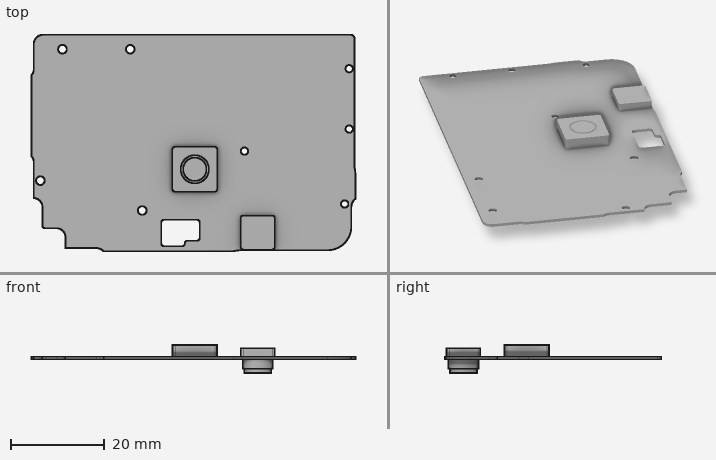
import cadquery as cq
import math

board_thickness = 0.6
module_height = 2.5
camera_height = 1.8
barrel_depth = 1.95
lens_depth = 1.0

board_length = 69.25
board_width = 46.3
left_edge = 0.5
right_edge = 69.05
lower_right_edge = 68.35
bottom_right_edge = 0.2
bulge_bottom = 20.3
bulge_top = 37.6
bulge_blend = 1.1
notch_top = 11.35
notch_x = 2.35
notch_bottom = 4.9
step_x = 7.3
step_y = 0.7
tab_start = 13.85
tab_corner = 15.45
tab_end = 43.15
tab_end_blend = 1.7
right_bulge_bottom = 11.2
right_bulge_top = 15.85
right_bulge_upper_blend = 1.95
notch_radius = 1.9
corner_radius = 0.55
top_left_radius = 2.1
top_right_radius = 0.9
bottom_right_radius = 5.1
right_bulge_lower_blend = 1.65

large_hole_diameter = 1.8
large_holes = [(6.65, 43.15), (21.1, 43.15), (1.95, 15.1), (23.7, 8.7)]
small_hole_diameter = 1.5
small_holes = [(67.9, 39.0), (67.9, 26.1), (66.9, 10.1), (45.5, 21.4)]

window_left, window_right = 27.8, 35.95
window_bottom, window_top = 1.1, 6.7
window_step_x, window_step_y = 32.75, 2.3

module_size = 9.55
module_center = (34.9, 17.5)
ring_outer_diameter = 6.0
ring_inner_diameter = 5.0
ring_depth = 0.15

camera_size = 7.3
camera_center = (48.35, 4.0)
barrel_diameter = 6.5
lens_diameter = 5.8


def rounded_block(size, center, height):
    """Square block on top of the board with rounded upright edges."""
    block = cq.Workplane("XY").workplane(offset=board_thickness).center(*center).rect(size, size)
    return block.extrude(height).edges("|Z").fillet(corner_radius)


def disc(diameter, center, bottom, height):
    """Upright cylinder starting at the given Z."""
    return cq.Workplane("XY").workplane(offset=bottom).center(*center).circle(diameter / 2).extrude(height)


def blend_middle(tangent_end, sharp_end):
    """Middle point of an arc that meets a level edge smoothly at tangent_end."""
    run = sharp_end[0] - tangent_end[0]
    drop = sharp_end[1] - tangent_end[1]
    radius = (run**2 + drop**2) / (2 * drop)
    half_angle = math.asin(run / radius) / 2
    return (
        tangent_end[0] + radius * math.sin(half_angle),
        tangent_end[1] + radius * (1 - math.cos(half_angle)),
    )


def side_blend_middle(tangent_end, sharp_end):
    """Same as blend_middle, for an arc that meets an upright edge."""
    y, x = blend_middle(tangent_end[::-1], sharp_end[::-1])
    return (x, y)


def build_board():
    """Plate with rounded corners, a stepped lower left corner and shallow edge bulges."""
    tab_rise = (tab_start, step_y)
    bulge_upper_end = (left_edge, bulge_top + bulge_blend)
    right_bulge_start = (board_length, right_bulge_top)
    right_bulge_upper_end = (right_edge, right_bulge_top + right_bulge_upper_blend)
    right_bulge_lower_end = (lower_right_edge, right_bulge_bottom - right_bulge_lower_blend)

    outline = (
        cq.Workplane("XY")
        .moveTo(lower_right_edge - bottom_right_radius, bottom_right_edge)
        .lineTo(tab_end + tab_end_blend, bottom_right_edge)
        .tangentArcPoint((tab_end, 0), relative=False)
        .lineTo(tab_corner, 0)
        .threePointArc(blend_middle(tab_rise, (tab_corner, 0)), tab_rise)
        .lineTo(step_x, step_y)
        .lineTo(step_x, notch_bottom - notch_radius)
        .tangentArcPoint((step_x - notch_radius, notch_bottom), relative=False)
        .lineTo(notch_x + corner_radius, notch_bottom)
        .tangentArcPoint((notch_x, notch_bottom + corner_radius), relative=False)
        .lineTo(notch_x, notch_top - notch_radius)
        .tangentArcPoint((left_edge, notch_top), relative=False)
        .lineTo(left_edge, bulge_bottom - bulge_blend)
        .tangentArcPoint((0, bulge_bottom), relative=False)
        .lineTo(0, bulge_top)
        .threePointArc(side_blend_middle(bulge_upper_end, (0, bulge_top)), bulge_upper_end)
        .lineTo(left_edge, board_width - top_left_radius)
        .tangentArcPoint((left_edge + top_left_radius, board_width), relative=False)
        .lineTo(right_edge - top_right_radius, board_width)
        .tangentArcPoint((right_edge, board_width - top_right_radius), relative=False)
        .lineTo(*right_bulge_upper_end)
        .threePointArc(side_blend_middle(right_bulge_start, right_bulge_upper_end), right_bulge_start)
        .lineTo(board_length, right_bulge_bottom)
        .threePointArc(
            side_blend_middle(right_bulge_lower_end, (board_length, right_bulge_bottom)),
            right_bulge_lower_end,
        )
        .lineTo(lower_right_edge, bottom_right_edge + bottom_right_radius)
        .tangentArcPoint((lower_right_edge - bottom_right_radius, bottom_right_edge), relative=False)
        .close()
    )
    return outline.extrude(board_thickness)


def build_window():
    """Cutter for the L-shaped window with rounded corners."""
    corners = [
        (window_left, window_bottom),
        (window_step_x, window_bottom),
        (window_step_x, window_step_y),
        (window_right, window_step_y),
        (window_right, window_top),
        (window_left, window_top),
    ]
    cutter = cq.Workplane("XY").polyline(corners).close().extrude(board_thickness)
    return cutter.edges("|Z").fillet(corner_radius)


def build_module():
    """Square module with a shallow ring groove in its top face."""
    groove_floor = board_thickness + module_height - ring_depth
    groove = disc(ring_outer_diameter, module_center, groove_floor, ring_depth).cut(
        disc(ring_inner_diameter, module_center, groove_floor, ring_depth)
    )
    return rounded_block(module_size, module_center, module_height).cut(groove)


def build_camera():
    """Camera block above the board with its barrel and narrower lens below."""
    block = rounded_block(camera_size, camera_center, camera_height)
    barrel = disc(barrel_diameter, camera_center, -barrel_depth, barrel_depth)
    lens = disc(lens_diameter, camera_center, -barrel_depth - lens_depth, lens_depth)
    return [block, barrel, lens]


board = build_board().cut(build_window())
for diameter, centers in ((large_hole_diameter, large_holes), (small_hole_diameter, small_holes)):
    for center in centers:
        board = board.cut(disc(diameter, center, 0, board_thickness))

result = board.union(build_module())
for piece in build_camera():
    result = result.union(piece)